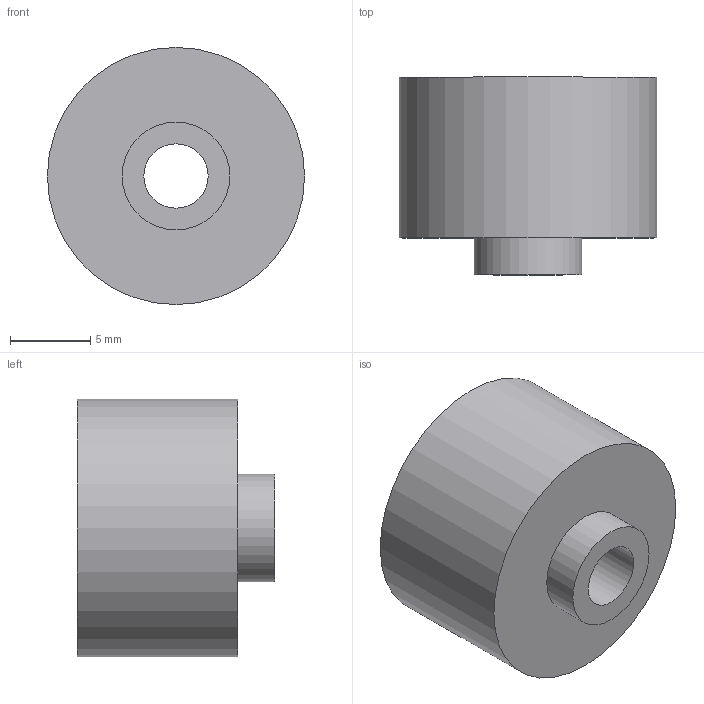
import cadquery as cq

body_diameter = 16.0
body_length = 10.0
hub_diameter = 6.7
hub_length = 2.3
bore_diameter = 4.0

total_length = body_length + hub_length


def cylinder_along_y(diameter, length, start_y):
    """Solid cylinder centred on the Y axis, running from start_y toward +Y."""
    plane = cq.Workplane("XZ", origin=(0, start_y, 0))
    return plane.circle(diameter / 2).extrude(-length)


body = cylinder_along_y(body_diameter, body_length, 0)

hub = cylinder_along_y(hub_diameter, hub_length, -hub_length)

bore = cylinder_along_y(bore_diameter, total_length, -hub_length)

result = body.union(hub).cut(bore)